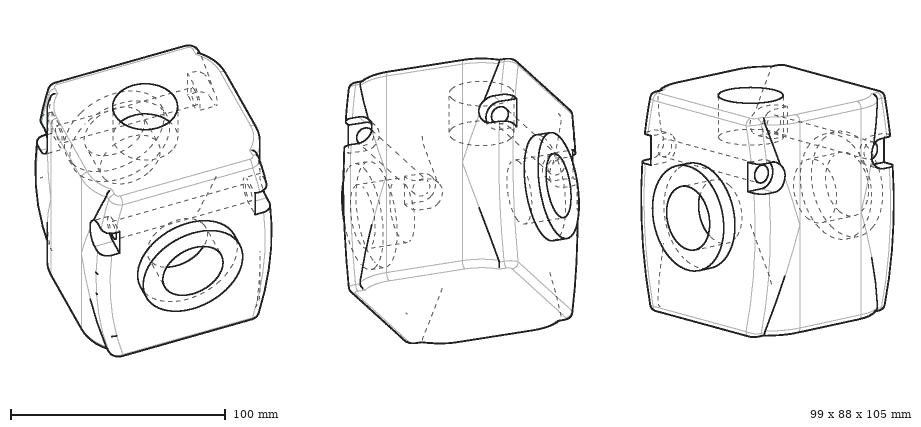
import cadquery as cq
import math

HEIGHT = 105.0
DEPTH = 88.0
BODY_WIDTH = 85.0
OVERALL_WIDTH = 99.0

FRONT_FLAT_WIDTH = 38.2
BARREL_RADIUS = 200.0
BARREL_EDGE_ROUND = 5.0
END_ROUND = 3.0

COLLAR_DIAMETER = 50.0
PORT_DIAMETER = 30.2
PORT_DEPTH = 20.0
TOP_PORT_X = -10.5

MOUNT_X = 34.0
MOUNT_Z = 25.0
MOUNT_HOLE_DIAMETER = 8.5
MOUNT_POCKET_WIDTH = 14.1
MOUNT_SEAT_SPACING = 68.0


def rounded_block():
    """Upright block with broadly rounded vertical corners."""
    corner_radius = (BODY_WIDTH - FRONT_FLAT_WIDTH) / 2
    block = cq.Workplane("XY").box(BODY_WIDTH, DEPTH, HEIGHT)
    block = block.edges("|Z").fillet(corner_radius)
    return block.faces("<Z or >Z").edges().fillet(END_ROUND)


def barrel_block():
    """Block whose front and back bulge to the full depth at mid height."""
    half_height = HEIGHT / 2
    half_depth = DEPTH / 2
    sag = BARREL_RADIUS - math.sqrt(BARREL_RADIUS**2 - half_height**2)
    end_y = half_depth - sag
    barrel = (
        cq.Workplane("YZ")
        .moveTo(-end_y, -half_height)
        .lineTo(end_y, -half_height)
        .threePointArc((half_depth, 0), (end_y, half_height))
        .lineTo(-end_y, half_height)
        .threePointArc((-half_depth, 0), (-end_y, -half_height))
        .close()
        .extrude(BODY_WIDTH / 2, both=True)
    )
    barrel = barrel.edges("%CIRCLE").fillet(BARREL_EDGE_ROUND)
    return barrel.faces("<Z or >Z").edges().fillet(END_ROUND)


def mounting_cut(side_x, side_y):
    """Through hole and flat-bottomed pocket open to the side, at one corner."""
    seat_y = side_y * MOUNT_SEAT_SPACING / 2
    cut_depth = side_y * DEPTH / 2
    center_x = side_x * MOUNT_X
    seat = cq.Workplane("XZ", origin=(center_x, seat_y, MOUNT_Z))
    round_end = seat.circle(MOUNT_POCKET_WIDTH / 2).extrude(-cut_depth)
    open_end = (
        seat.center(side_x * BODY_WIDTH / 4, 0)
        .rect(BODY_WIDTH / 2, MOUNT_POCKET_WIDTH)
        .extrude(-cut_depth)
    )
    hole = (
        cq.Workplane("XZ", origin=(center_x, 0, MOUNT_Z))
        .circle(MOUNT_HOLE_DIAMETER / 2)
        .extrude(-cut_depth)
    )
    return round_end.union(open_end).union(hole)


def side_collars():
    """Round collars standing out on both sides, as one bar through the body."""
    return cq.Workplane("YZ").circle(COLLAR_DIAMETER / 2).extrude(OVERALL_WIDTH / 2, both=True)


def side_port(side_x):
    """Blind round port entering from one collar face."""
    face = cq.Workplane("YZ", origin=(side_x * OVERALL_WIDTH / 2, 0, 0))
    return face.circle(PORT_DIAMETER / 2).extrude(-side_x * PORT_DEPTH)


def top_port():
    """Blind round port entering from the top face, off center along X."""
    face = cq.Workplane("XY", origin=(TOP_PORT_X, 0, HEIGHT / 2))
    return face.circle(PORT_DIAMETER / 2).extrude(-PORT_DEPTH)


result = rounded_block().union(barrel_block()).union(side_collars())
result = result.cut(top_port())
for side_x in (-1, 1):
    result = result.cut(side_port(side_x))
    for side_y in (-1, 1):
        result = result.cut(mounting_cut(side_x, side_y))